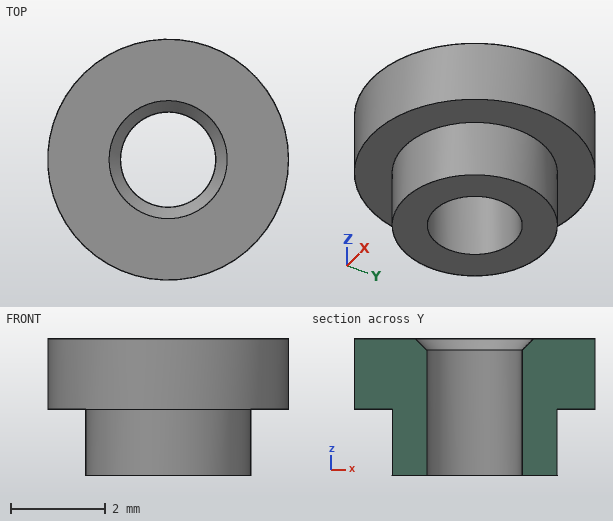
import cadquery as cq

head_diameter = 5.1
head_height = 1.5
shank_diameter = 3.5
total_height = 2.9
bore_diameter = 2.01
countersink_diameter = 2.5

shank_height = total_height - head_height
bore_chamfer = (countersink_diameter - bore_diameter) / 2

shank = cq.Workplane("XY").circle(shank_diameter / 2).extrude(shank_height)
head = (
    cq.Workplane("XY")
    .workplane(offset=shank_height)
    .circle(head_diameter / 2)
    .extrude(head_height)
)
body = shank.union(head)

bored_body = body.faces(">Z").workplane().hole(bore_diameter)
top_rim = cq.selectors.RadiusNthSelector(0)
result = bored_body.faces(">Z").edges(top_rim).chamfer(bore_chamfer)